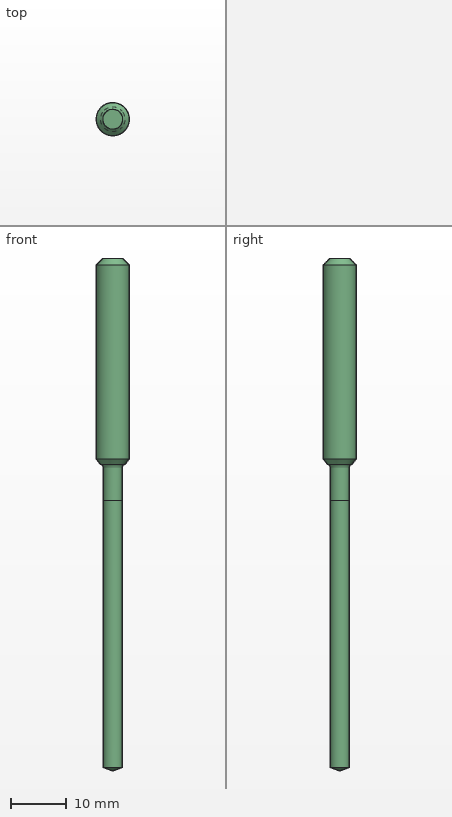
import cadquery as cq
import math

total_length = 92.0
handle_diameter = 6.0
handle_radius = handle_diameter / 2
shank_radius = 1.75
top_chamfer = 1.2
handle_bottom = 56.0
bottom_chamfer_height = 1.0
neck_fillet = 0.5
joint_height = 48.6
tip_height = 0.6

shoulder_radius = shank_radius + neck_fillet
shoulder_height = handle_bottom - bottom_chamfer_height
neck_fillet_bottom = shoulder_height - neck_fillet


def make_handle():
    """Handle chamfered at both ends, with a filleted neck down to the joint."""
    fillet_offset = neck_fillet * (1 - math.sqrt(0.5))
    fillet_middle = (shank_radius + fillet_offset, shoulder_height - fillet_offset)
    profile = (
        cq.Workplane("XZ")
        .moveTo(0, joint_height)
        .lineTo(shank_radius, joint_height)
        .lineTo(shank_radius, neck_fillet_bottom)
        .threePointArc(fillet_middle, (shoulder_radius, shoulder_height))
        .lineTo(handle_radius, handle_bottom)
        .lineTo(handle_radius, total_length - top_chamfer)
        .lineTo(handle_radius - top_chamfer, total_length)
        .lineTo(0, total_length)
        .close()
    )
    return profile.revolve(360, (0, 0, 0), (0, 1, 0))


def make_pin():
    """Straight pin with a shallow conical tip."""
    profile = (
        cq.Workplane("XZ")
        .moveTo(0, 0)
        .lineTo(shank_radius, tip_height)
        .lineTo(shank_radius, joint_height)
        .lineTo(0, joint_height)
        .close()
    )
    return profile.revolve(360, (0, 0, 0), (0, 1, 0))


handle = make_handle()
pin = make_pin()
result = cq.Compound.makeCompound([handle.val(), pin.val()])